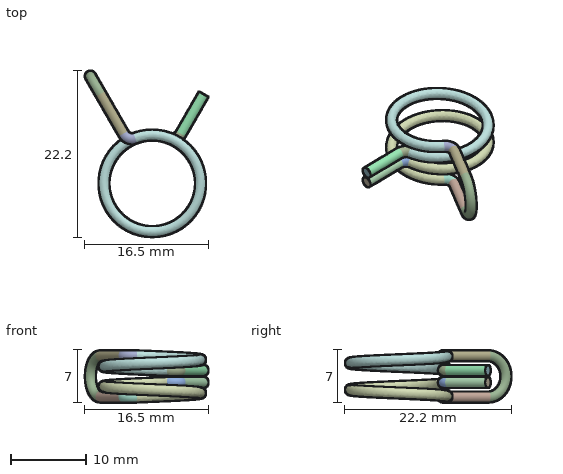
import cadquery as cq
import math

wire_diameter = 1.5
wire_radius = wire_diameter / 2
coil_outer_diameter = 14.35
coil_radius = (coil_outer_diameter - wire_diameter) / 2
overall_height = 7.0

loop_leg_height = overall_height / 2 - wire_radius
tail_height = 0.8

arm_lean = 30.0
arm_end_distance = 13.7
bend_radius = 1.29

bend_center_distance = coil_radius + bend_radius
bend_offset_angle = math.degrees(math.asin(bend_radius / bend_center_distance))
bend_lean = arm_lean - bend_offset_angle
bend_turn = 90 - bend_offset_angle
arm_start_distance = math.sqrt(bend_center_distance**2 - bend_radius**2)

coil_turn = 360 + 2 * bend_lean
coil_rise = loop_leg_height - tail_height
coil_pitch = coil_rise * 360 / coil_turn


def upper_coil():
    """Wire climbing from the tail side to the loop side, ending on radial faces."""
    helix = cq.Wire.makeHelix(coil_pitch, coil_rise, coil_radius)
    section = cq.Workplane("XZ").center(coil_radius, 0).circle(wire_radius)
    coil = section.sweep(cq.Workplane(helix), isFrenet=True)
    coil_start_angle = 90 - bend_lean
    return coil.rotate((0, 0, 0), (0, 0, 1), coil_start_angle).translate((0, 0, tail_height))


def wire_section(distance, height):
    """Wire circle facing -Y, at a distance along +Y from the coil axis."""
    return cq.Workplane("XZ", origin=(0, distance, height)).circle(wire_radius)


def bent_arm(height):
    """Arm on the +X side: straight leg plus the bend down to the coil."""
    leg = wire_section(arm_start_distance, height).extrude(arm_start_distance - arm_end_distance)
    bend = wire_section(arm_start_distance, height).revolve(
        bend_turn, (-bend_radius, 0, 0), (-bend_radius, -1, 0)
    )
    return leg.union(bend).rotate((0, 0, 0), (0, 0, 1), -arm_lean)


def loop():
    """Half turn joining the ends of the two loop legs, standing upright along them."""
    half_turn = wire_section(arm_end_distance, loop_leg_height).revolve(
        180, (0, -loop_leg_height, 0), (-1, -loop_leg_height, 0)
    )
    return half_turn.rotate((0, 0, 0), (0, 0, 1), arm_lean)


tail = bent_arm(tail_height)
loop_leg = bent_arm(loop_leg_height).mirror("YZ")
upper_half = upper_coil().union(tail).union(loop_leg)
lower_half = upper_half.mirror("XY")

result = upper_half.union(loop()).union(lower_half)